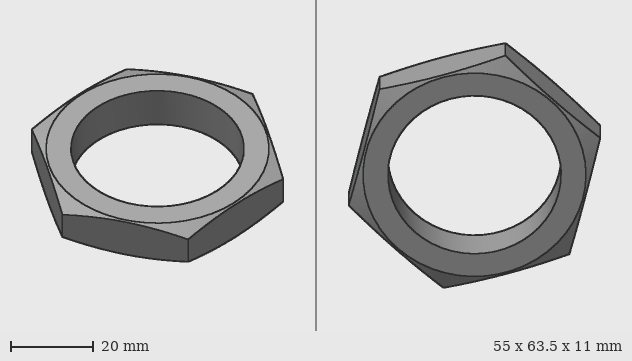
import cadquery as cq
import math

across_corners = 63.5
thickness = 11.0
bore_diameter = 41.9
face_diameter = 54.0
chamfer_angle = 21.0

corner_radius = across_corners / 2
face_radius = face_diameter / 2
half_thickness = thickness / 2
chamfer_drop = (corner_radius - face_radius) * math.tan(math.radians(chamfer_angle))
shoulder_height = half_thickness - chamfer_drop


def hexagonal_blank():
    return (
        cq.Workplane("XY", origin=(0, 0, -half_thickness))
        .polygon(6, across_corners)
        .extrude(thickness)
        .rotate((0, 0, 0), (0, 0, 1), 90)
    )


def chamfer_envelope():
    """Round body with a cone at each end, which trims the hexagon's corners."""
    return (
        cq.Workplane("XZ")
        .moveTo(0, -half_thickness)
        .lineTo(face_radius, -half_thickness)
        .lineTo(corner_radius, -shoulder_height)
        .lineTo(corner_radius, shoulder_height)
        .lineTo(face_radius, half_thickness)
        .lineTo(0, half_thickness)
        .close()
        .revolve(360, (0, 0, 0), (0, 1, 0))
    )


def bore():
    return cq.Workplane("XY", origin=(0, 0, -half_thickness)).circle(bore_diameter / 2).extrude(thickness)


result = hexagonal_blank().intersect(chamfer_envelope()).cut(bore())